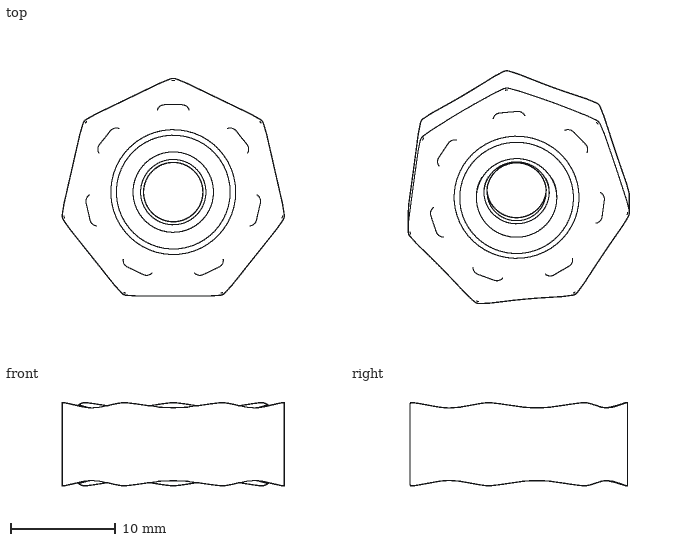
import cadquery as cq
import math

SIDES = 7
STEP = 360 / SIDES
HALF_STEP = math.pi / SIDES

HEIGHT = 8.0
APOTHEM = 10.0
TIP_RADIUS = 10.94
CORNER_ROUND = 0.8
WIPER_START = 3.44
WIPER_BLEND = 1.28

LAND_WIDTH = 0.2
OVERHANG = 0.43
DIP_DEPTH = 0.51
DIP_RADIUS = 11.53

DIP_END = 1.25
FLANK_END = 2.7
CORNER_PATCH_START = 3.67

STAR_HEIGHT = 3.23
STAR_TIP = 8.4
STAR_TIP_ROUND = 0.73
VALLEY_DISTANCE = 6.37
VALLEY_RADIUS = 1.54
FLANK_ANGLE = math.pi / 4

RING_HEIGHT = 3.52
RING_BASE_RADIUS = 6.0
RING_TOP_RADIUS = 5.47

SINK_RADIUS = 3.87
SINK_FLOOR = 2.78
SEAT_HOLLOW_RADIUS = 0.45
SEAT_CROWN_RADIUS = 1.0
SEAT_ANGLE = math.pi / 3
BORE_RADIUS = 2.85
BORE_HALF_LENGTH = 0.73

half_height = HEIGHT / 2
corner_center = TIP_RADIUS - CORNER_ROUND
line = cq.Edge.makeLine
arc = cq.Edge.makeThreePointArc
ruled = cq.Face.makeRuledSurface


def side_point(along, distance, z=0.0):
    """Point on the +X side of the corner: `along` from mid-side to the corner, `distance` from the axis."""
    x = distance * math.sin(HALF_STEP) - along * math.cos(HALF_STEP)
    y = distance * math.cos(HALF_STEP) + along * math.sin(HALF_STEP)
    return cq.Vector(x, y, z)


def mirrored(point):
    """The same point on the other side of the corner."""
    return cq.Vector(-point.x, point.y, point.z)


def around(shapes):
    """Copies of the shapes at all corners."""
    return [s.rotate(cq.Vector(), cq.Vector(0, 0, 1), i * STEP) for i in range(SIDES) for s in shapes]


center_along = corner_center * math.sin(HALF_STEP)
center_distance = corner_center * math.cos(HALF_STEP)
to_center_along = center_along - WIPER_START
to_center_depth = APOTHEM - center_distance
wiper_tilt = math.atan2(to_center_depth, to_center_along) - math.asin(
    CORNER_ROUND / math.hypot(to_center_along, to_center_depth)
)


def corner_round_point(radius, height=0.0):
    """Start of an arc of the given radius about the centre of the corner round."""
    direction = HALF_STEP - wiper_tilt
    return cq.Vector(radius * math.sin(direction), corner_center + radius * math.cos(direction), height)


def prism():
    """Straight outer walls: sides, blended wiper facets and rounded corners."""
    setback = WIPER_BLEND * math.tan(wiper_tilt / 2)
    blend_start = side_point(WIPER_START - setback, APOTHEM)
    blend_tangent = side_point(1, 0)
    blend_end = side_point(
        WIPER_START + setback * math.cos(wiper_tilt),
        APOTHEM - setback * math.sin(wiper_tilt),
    )
    round_start = corner_round_point(CORNER_ROUND)
    half = [
        line(side_point(0, APOTHEM), blend_start),
        cq.Edge.makeTangentArc(blend_start, blend_tangent, blend_end),
        line(blend_end, round_start),
    ]
    corner_round = arc(round_start, cq.Vector(0, TIP_RADIUS), mirrored(round_start))
    edges = around(half + [corner_round] + [e.mirror("YZ") for e in half])
    outline = cq.Wire.combine(edges)[0]
    solid = cq.Solid.extrudeLinear(outline, [], cq.Vector(0, 0, HEIGHT))
    return cq.Workplane(obj=solid.translate(cq.Vector(0, 0, -half_height)))


land_tip = TIP_RADIUS - LAND_WIDTH
rake_slope = (half_height - STAR_HEIGHT) / (land_tip - STAR_TIP)


def corner_rake_height(y):
    """Height of the corner rake plane at a distance `y` from the axis towards the corner."""
    return STAR_HEIGHT + rake_slope * (y - STAR_TIP)


def land_heights():
    """Heights of the land at the ends of its stretches, the same across its width."""
    dip = half_height - DIP_DEPTH

    def rise(along):
        return DIP_RADIUS - math.sqrt(DIP_RADIUS**2 - along**2)

    def straight(along):
        return corner_rake_height(side_point(along, APOTHEM - LAND_WIDTH).y)

    round_start = corner_round_point(CORNER_ROUND - LAND_WIDTH)
    return {
        "dip": dip,
        "dip_mid": dip + rise(DIP_END / 2),
        "dip_end": dip + rise(DIP_END),
        "flank_end": straight(FLANK_END),
        "patch_start": straight(CORNER_PATCH_START),
        "round_start": corner_rake_height(round_start.y),
    }


def land_edges(heights, distance, radius):
    """Edges of the land from mid-side to the corner arc, at a given distance from the axis."""
    mid = side_point(0, distance, heights["dip"])
    dip_mid = side_point(DIP_END / 2, distance, heights["dip_mid"])
    dip_end = side_point(DIP_END, distance, heights["dip_end"])
    flank_end = side_point(FLANK_END, distance, heights["flank_end"])
    patch_start = side_point(CORNER_PATCH_START, distance, heights["patch_start"])
    round_start = corner_round_point(radius, heights["round_start"])
    tip = cq.Vector(0, corner_center + radius, half_height)
    dip_slope = math.asin(DIP_END / DIP_RADIUS)
    dip_tangent = side_point(math.cos(dip_slope), 0, math.sin(dip_slope))
    return [
        arc(mid, dip_mid, dip_end),
        cq.Edge.makeSpline([dip_end, flank_end], tangents=[dip_tangent, patch_start - flank_end]),
        line(flank_end, patch_start),
        line(patch_start, round_start),
        arc(round_start, tip, mirrored(round_start)),
    ]


def star_edges():
    """Edges of the star from mid-side to its tip: valley arc, straight flank, tip round, whole tip."""
    valley_center = VALLEY_DISTANCE + VALLEY_RADIUS

    def valley_point(angle):
        along = VALLEY_RADIUS * math.sin(angle)
        return side_point(along, valley_center - VALLEY_RADIUS * math.cos(angle), STAR_HEIGHT)

    flank_start = valley_point(FLANK_ANGLE)
    flank = side_point(math.cos(FLANK_ANGLE), math.sin(FLANK_ANGLE))
    sharp_tip = flank_start + flank * ((STAR_TIP - flank_start.y) / flank.y)
    turn = FLANK_ANGLE + HALF_STEP
    setback = STAR_TIP_ROUND * math.tan(turn / 2)
    flank_end = sharp_tip - flank * setback
    tip_start = sharp_tip - cq.Vector(setback, 0, 0)
    return [
        arc(valley_point(0), valley_point(FLANK_ANGLE / 2), flank_start),
        line(flank_start, flank_end),
        cq.Edge.makeTangentArc(flank_end, flank, tip_start),
        line(tip_start, mirrored(tip_start)),
    ]


def crown():
    """Solid between the upper and lower cutting faces, reaching OVERHANG beyond the walls."""
    heights = land_heights()
    rim = land_edges(heights, APOTHEM + OVERHANG, CORNER_ROUND + OVERHANG)
    edge = land_edges(heights, APOTHEM - LAND_WIDTH, CORNER_ROUND - LAND_WIDTH)
    star = star_edges()

    land = [ruled(outer, inner) for outer, inner in zip(rim, edge)]
    wall = [ruled(upper_edge, upper_edge.mirror("XY")) for upper_edge in rim]
    *rake_tops, facet_edge, corner_edge = edge
    *rake_feet, tip_edge = star
    rake = [ruled(top, foot) for top, foot in zip(rake_tops, rake_feet)]

    half = land[:-1] + rake
    patch_side = line(facet_edge.startPoint(), tip_edge.startPoint())
    patch_half = [facet_edge, patch_side]
    patch = patch_half + [e.mirror("YZ") for e in patch_half] + [corner_edge, tip_edge]
    corner_rake = cq.Face.makeFromWires(cq.Wire.combine(patch)[0])
    upper = around(half + [f.mirror("YZ") for f in half] + [land[-1], corner_rake])

    star_outline = around(star + [e.mirror("YZ") for e in rake_feet])
    upper.append(cq.Face.makeFromWires(cq.Wire.combine(star_outline)[0]))

    walls = around(wall + [f.mirror("YZ") for f in wall[:-1]])
    shell = cq.Shell.makeShell(upper + [f.mirror("XY") for f in upper] + walls)
    return cq.Workplane(obj=cq.Solid.makeSolid(shell).fix())


def ring():
    """Raised ring with a bevelled rim on both faces."""
    profile = [
        (0, -RING_HEIGHT),
        (RING_TOP_RADIUS, -RING_HEIGHT),
        (RING_BASE_RADIUS, -STAR_HEIGHT),
        (RING_BASE_RADIUS, STAR_HEIGHT),
        (RING_TOP_RADIUS, RING_HEIGHT),
        (0, RING_HEIGHT),
    ]
    return cq.Workplane("XZ").polyline(profile).close().revolve(360, (0, 0), (0, 1))


def hole():
    """Through hole with a screw seat at both ends."""
    hollow_center = (SINK_RADIUS - SEAT_HOLLOW_RADIUS, SINK_FLOOR)
    meet_radius = hollow_center[0] + SEAT_HOLLOW_RADIUS * math.cos(SEAT_ANGLE)
    meet_height = SINK_FLOOR - SEAT_HOLLOW_RADIUS * math.sin(SEAT_ANGLE)
    crown_center = (
        meet_radius + SEAT_CROWN_RADIUS * math.cos(SEAT_ANGLE),
        meet_height - SEAT_CROWN_RADIUS * math.sin(SEAT_ANGLE),
    )
    neck_radius = crown_center[0] - SEAT_CROWN_RADIUS
    mid_cos = math.cos(SEAT_ANGLE / 2)
    mid_sin = math.sin(SEAT_ANGLE / 2)
    hollow_mid = (hollow_center[0] + SEAT_HOLLOW_RADIUS * mid_cos, SINK_FLOOR - SEAT_HOLLOW_RADIUS * mid_sin)
    crown_mid = (crown_center[0] - SEAT_CROWN_RADIUS * mid_cos, crown_center[1] + SEAT_CROWN_RADIUS * mid_sin)
    upper_seat = (
        cq.Workplane("XZ")
        .moveTo(0, half_height)
        .lineTo(SINK_RADIUS, half_height)
        .lineTo(SINK_RADIUS, SINK_FLOOR)
        .threePointArc(hollow_mid, (meet_radius, meet_height))
        .threePointArc(crown_mid, (neck_radius, crown_center[1]))
        .lineTo(neck_radius, BORE_HALF_LENGTH)
        .lineTo(0, BORE_HALF_LENGTH)
        .close()
        .revolve(360, (0, 0), (0, 1))
    )
    bore = cq.Workplane("XY").circle(BORE_RADIUS).extrude(BORE_HALF_LENGTH, both=True)
    return bore.union(upper_seat).union(upper_seat.mirror("XY"))


result = prism().intersect(crown()).union(ring()).cut(hole())